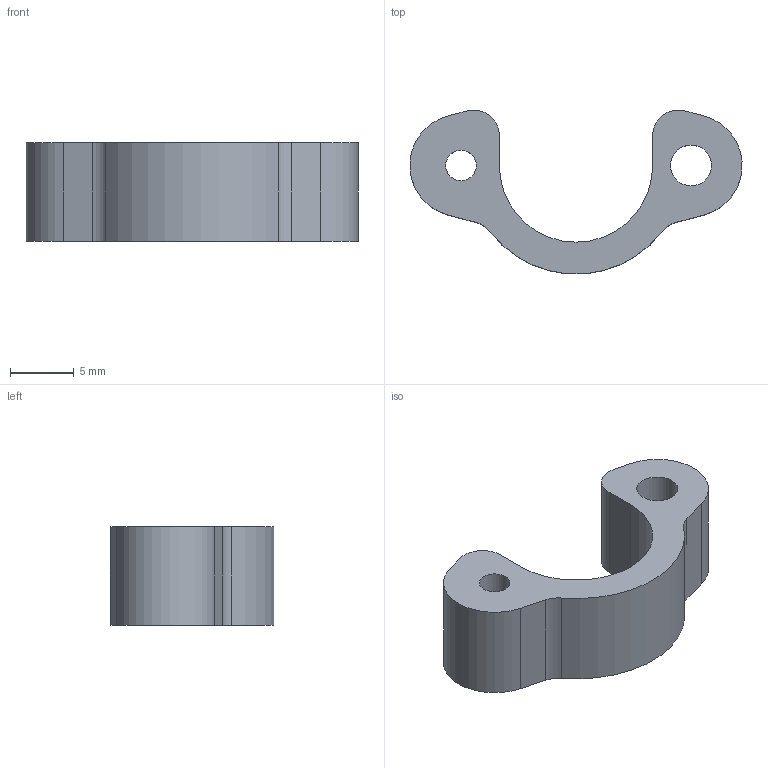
import cadquery as cq
import math

height = 7.7
bore_radius = 6.0
saddle_radius = 8.5
lug_offset = 9.0
lug_radius = 4.0
flank_angle = math.radians(15)
corner_fillet = 2.0
root_fillet = 2.0
left_hole_diameter = 2.4
right_hole_diameter = 3.2

flank_distance = lug_radius + lug_offset * math.sin(flank_angle)
flank_half_width = flank_distance / math.cos(flank_angle)
tangent_x = lug_offset + lug_radius * math.sin(flank_angle)
tangent_y = lug_radius * math.cos(flank_angle)

mouth_x = bore_radius
mouth_y = flank_half_width - bore_radius * math.tan(flank_angle)
root_angle = flank_angle - math.pi / 2 + math.acos(flank_distance / saddle_radius)
root_x = saddle_radius * math.cos(root_angle)
root_y = saddle_radius * math.sin(root_angle)


def make_lug(side):
    """Tapered lug with a round end; side is +1 for +X and -1 for -X."""
    return (
        cq.Workplane("XY")
        .moveTo(0, flank_half_width)
        .lineTo(side * tangent_x, tangent_y)
        .threePointArc((side * (lug_offset + lug_radius), 0), (side * tangent_x, -tangent_y))
        .lineTo(0, -flank_half_width)
        .close()
        .extrude(height)
    )


def make_saddle():
    """Half disc that forms the outside of the curved wall."""
    return (
        cq.Workplane("XY")
        .moveTo(-saddle_radius, 0)
        .threePointArc((0, -saddle_radius), (saddle_radius, 0))
        .close()
        .extrude(height)
    )


def make_bore():
    """Round-bottomed channel, open towards +Y."""
    channel_end = 2 * flank_half_width
    return (
        cq.Workplane("XY")
        .moveTo(-bore_radius, channel_end)
        .lineTo(-bore_radius, 0)
        .threePointArc((0, -bore_radius), (bore_radius, 0))
        .lineTo(bore_radius, channel_end)
        .close()
        .extrude(height)
    )


def fillet_upright_edges(body, x, y, radius):
    """Round the mirrored pair of upright edges at (x, y) and (-x, y)."""
    for side in (-1, 1):
        edge = cq.selectors.NearestToPointSelector((side * x, y, height / 2))
        body = body.edges("|Z").edges(edge).fillet(radius)
    return body


def make_hole(x, diameter):
    """Through hole on the lug centre line."""
    return cq.Workplane("XY").center(x, 0).circle(diameter / 2).extrude(height)


clamp = make_saddle().union(make_lug(-1)).union(make_lug(1)).cut(make_bore())
clamp = fillet_upright_edges(clamp, mouth_x, mouth_y, corner_fillet)
clamp = fillet_upright_edges(clamp, root_x, root_y, root_fillet)
clamp = clamp.cut(make_hole(-lug_offset, left_hole_diameter))
clamp = clamp.cut(make_hole(lug_offset, right_hole_diameter))

result = clamp